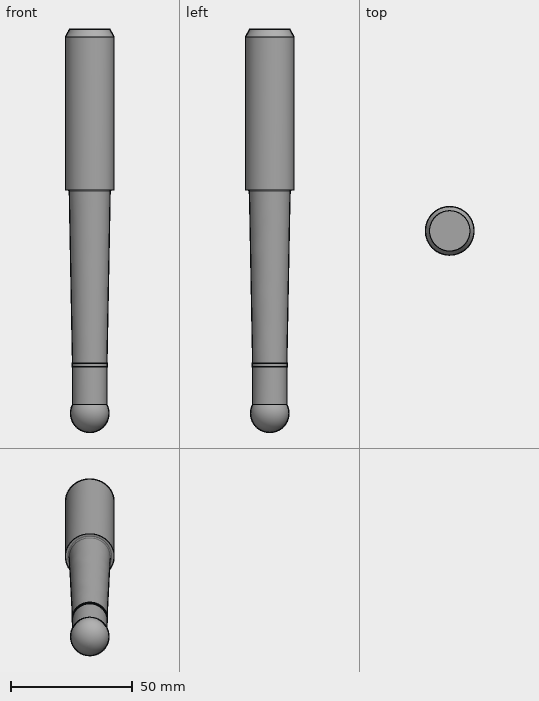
import cadquery as cq
import math

total_length = 166.0

shank_diameter = 20.1
shank_bottom_z = 99.8
shank_top_diameter = 16.6
top_chamfer_height = 3.2
shoulder_fillet = 0.5
neck_top_diameter = 17.0
neck_bottom_diameter = 14.3

collar_diameter = 14.6
collar_top_z = 28.7
joint_z = 26.9
collar_chamfer_height = 0.3

ball_diameter = 16.0
head_diameter = 14.3


def make_holder():
    """Revolve the shank, its tapered neck with a shoulder fillet, and the collar."""
    neck_top_radius = neck_top_diameter / 2
    fillet_offset = shoulder_fillet * (1 - math.sqrt(0.5))
    profile = (
        cq.Workplane("XZ")
        .moveTo(0, joint_z)
        .lineTo(head_diameter / 2, joint_z)
        .lineTo(collar_diameter / 2, joint_z + collar_chamfer_height)
        .lineTo(collar_diameter / 2, collar_top_z - collar_chamfer_height)
        .lineTo(neck_bottom_diameter / 2, collar_top_z)
        .lineTo(neck_top_radius, shank_bottom_z - shoulder_fillet)
        .threePointArc(
            (neck_top_radius + fillet_offset, shank_bottom_z - fillet_offset),
            (neck_top_radius + shoulder_fillet, shank_bottom_z),
        )
        .lineTo(shank_diameter / 2, shank_bottom_z)
        .lineTo(shank_diameter / 2, total_length - top_chamfer_height)
        .lineTo(shank_top_diameter / 2, total_length)
        .lineTo(0, total_length)
        .close()
    )
    return profile.revolve(360, (0, 0, 0), (0, 1, 0))


def make_ball_head():
    """Revolve a cylinder ending in a larger ball."""
    ball_radius = ball_diameter / 2
    head_radius = head_diameter / 2
    ball_top_z = ball_radius + math.sqrt(ball_radius**2 - head_radius**2)
    profile = (
        cq.Workplane("XZ")
        .moveTo(0, 0)
        .threePointArc((ball_radius, ball_radius), (head_radius, ball_top_z))
        .lineTo(head_radius, joint_z)
        .lineTo(0, joint_z)
        .close()
    )
    return profile.revolve(360, (0, 0, 0), (0, 1, 0))


holder = make_holder()
ball_head = make_ball_head()

result = cq.Compound.makeCompound([holder.val(), ball_head.val()])